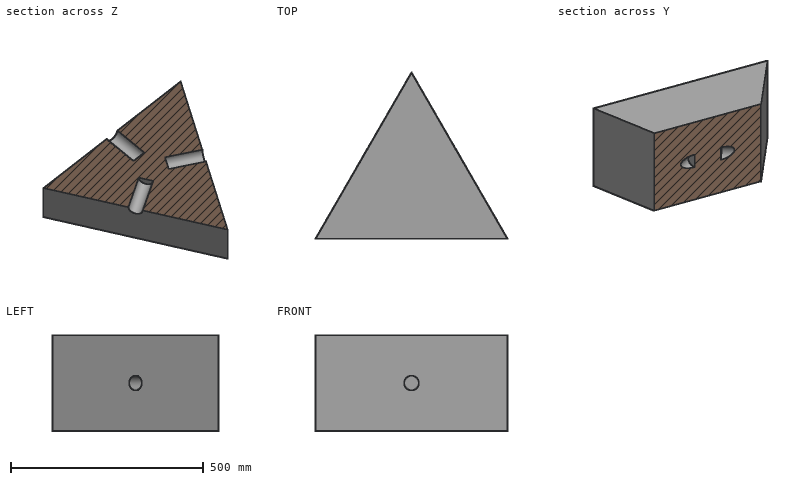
import cadquery as cq
import math

side_length = 500.0
prism_height = 250.0
hole_diameter = 38.0
hole_depth = 100.0
side_count = 3
side_angle = 360.0 / side_count

inradius = side_length / (2 * math.sqrt(3))
circumradius = 2 * inradius


def triangular_prism():
    """Equilateral prism centred on the origin, one side face toward -Y."""
    half_side = side_length / 2
    corners = [(-half_side, -inradius), (half_side, -inradius), (0, circumradius)]
    return cq.Workplane("XY").polyline(corners).close().extrude(prism_height / 2, both=True)


def side_hole(angle):
    """Blind hole cutter, entering the -Y face and turned about Z by angle."""
    face_centre = cq.Vector(0, -inradius, 0)
    inward = cq.Vector(0, 1, 0)
    cutter = cq.Solid.makeCylinder(hole_diameter / 2, hole_depth, face_centre, inward)
    return cutter.rotate(cq.Vector(0, 0, 0), cq.Vector(0, 0, 1), angle)


result = triangular_prism()
for index in range(side_count):
    result = result.cut(cq.Workplane(side_hole(index * side_angle)))